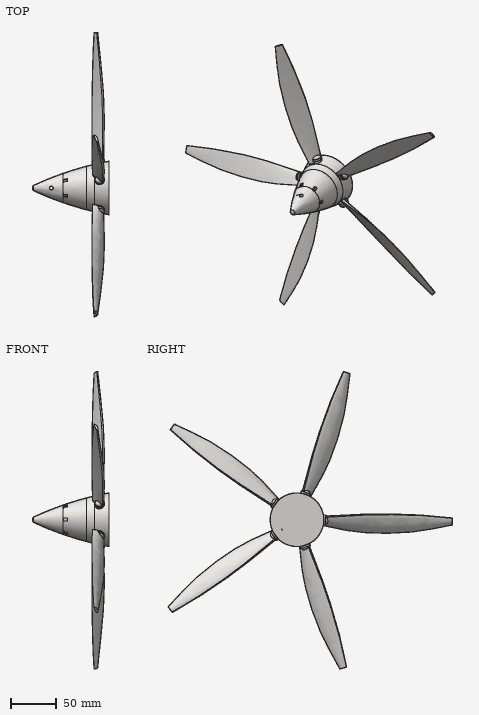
import cadquery as cq
import math


NOSE_DOME_LENGTH = 1.3
NOSE_DOME_RADIUS = 3.0
NOSE_ARC_HEIGHT = 0.3
CAP_END = 34.0
SHELL_END = 60.0
RING_END = 69.0
SPINNER_LENGTH = 85.0
CAP_END_DIAMETER = 32.5
SPINNER_REAR_DIAMETER = 59.7
SPINNER_REAR_RADIUS = SPINNER_REAR_DIAMETER / 2

CROSS_HOLE_DIAMETER = 4.0
CROSS_HOLE_X = 21.0

POCKET_COUNT = 6
POCKET_START = 34.5
POCKET_END = 39.0
POCKET_WIDTH = 3.3
POCKET_FLOOR_RADIUS = 15.2

BLADE_COUNT = 5
BLADE_AXIS_X = 74.5
BLADE_TIP_RADIUS = 172.0
BLADE_ROOT_RADIUS = 27.5
CREASE_SHARE = 0.85
CREASE_HEIGHT_RATIO = 1.4
BACK_MIDDLE_SHARE = 0.4
BACK_MIDDLE_HEIGHT_RATIO = 1.6
FACE_BULGE_RATIO = 0.3

SHANK_DIAMETER = 10.0
SHANK_BOTTOM_RADIUS = 19.8
COLLAR_DIAMETER = 11.0
COLLAR_START = 29.5
COLLAR_END = 31.5
SHANK_TOP_RADIUS = 34.5
SHANK_TOP_FILLET = 3.3

BLADE_SECTIONS = [
    (BLADE_ROOT_RADIUS, (66.5, -6.3), (77.5, 4.0), 2.3),
    (46.0, (66.3, -10.2), (77.5, 5.0), 2.3),
    (66.0, (66.0, -13.5), (77.8, 6.0), 2.3),
    (92.3, (66.0, -15.2), (77.5, 6.5), 2.3),
    (132.0, (66.5, -13.2), (75.0, 5.5), 2.0),
    (153.3, (67.3, -9.5), (73.0, 4.0), 1.5),
    (BLADE_TIP_RADIUS, (68.3, -6.0), (71.2, 2.0), 1.3),
]


def spinner_slice(start, end):
    """Solid part of the spinner ogive between two stations along X."""
    ogive = (
        cq.Workplane("XY")
        .moveTo(0, 0)
        .sagittaArc((NOSE_DOME_LENGTH, NOSE_DOME_RADIUS), NOSE_ARC_HEIGHT)
        .threePointArc((CAP_END, CAP_END_DIAMETER / 2), (SPINNER_LENGTH, SPINNER_REAR_RADIUS))
        .lineTo(SPINNER_LENGTH, 0)
        .close()
        .revolve(360, (0, 0, 0), (1, 0, 0))
    )
    slab = cq.Workplane("YZ").workplane(offset=start).circle(2 * SPINNER_REAR_RADIUS).extrude(end - start)
    return ogive.intersect(slab)


def make_cap():
    """Nose cap with a cross hole along Z."""
    hole = (
        cq.Workplane("XY")
        .center(CROSS_HOLE_X, 0)
        .circle(CROSS_HOLE_DIAMETER / 2)
        .extrude(SPINNER_REAR_RADIUS, both=True)
    )
    return spinner_slice(0, CAP_END).cut(hole)


def make_shell():
    """Middle of the spinner, with pockets around its front edge."""
    shell = spinner_slice(CAP_END, SHELL_END)
    pocket = (
        cq.Workplane("XY")
        .box(POCKET_END - POCKET_START, SPINNER_REAR_RADIUS, POCKET_WIDTH, centered=(False, False, True))
        .translate((POCKET_START, POCKET_FLOOR_RADIUS, 0))
    )
    for i in range(POCKET_COUNT):
        shell = shell.cut(pocket.rotate((0, 0, 0), (1, 0, 0), i * 360 / POCKET_COUNT))
    return shell


def radial_cylinder(diameter, start, end):
    """Cylinder on the blade axis, between two distances from the spinner axis along +Y."""
    return cq.Workplane("XZ", origin=(BLADE_AXIS_X, start, 0)).circle(diameter / 2).extrude(start - end)


def make_shank():
    """Round shank with a collar and a rounded end."""
    stem = radial_cylinder(SHANK_DIAMETER, SHANK_BOTTOM_RADIUS, SHANK_TOP_RADIUS)
    stem = stem.faces(">Y").edges().fillet(SHANK_TOP_FILLET)
    collar = radial_cylinder(COLLAR_DIAMETER, COLLAR_START, COLLAR_END)
    return stem.union(collar)


def section_wire(radius, front, rear, thickness):
    """Aerofoil section: slightly arched front face, blunt rear edge and an arched back with a crease."""
    chord_x = rear[0] - front[0]
    chord_z = rear[1] - front[1]
    chord = math.hypot(chord_x, chord_z)

    def back_point(share, height):
        """Point behind the front chord line, at a share of its length."""
        return (
            front[0] + share * chord_x + height * chord_z / chord,
            front[1] + share * chord_z - height * chord_x / chord,
        )

    return (
        cq.Workplane("XZ", origin=(0, radius, 0))
        .moveTo(*front)
        .threePointArc(back_point(0.5, -FACE_BULGE_RATIO * thickness), rear)
        .lineTo(*back_point(1, thickness))
        .lineTo(*back_point(CREASE_SHARE, CREASE_HEIGHT_RATIO * thickness))
        .threePointArc(back_point(BACK_MIDDLE_SHARE, BACK_MIDDLE_HEIGHT_RATIO * thickness), front)
        .close()
        .val()
    )


def make_blade():
    """One blade along +Y: twisted aerofoil on a round shank."""
    aerofoil = cq.Solid.makeLoft([section_wire(*section) for section in BLADE_SECTIONS])
    root_trim = spinner_slice(RING_END, SPINNER_LENGTH)
    return cq.Workplane(aerofoil).cut(root_trim).union(make_shank())


def make_hub():
    """Rear of the spinner, with one socket for each blade shank."""
    hub = spinner_slice(RING_END, SPINNER_LENGTH)
    socket = radial_cylinder(SHANK_DIAMETER, SHANK_BOTTOM_RADIUS, 2 * SPINNER_REAR_RADIUS)
    for i in range(BLADE_COUNT):
        hub = hub.cut(socket.rotate((0, 0, 0), (1, 0, 0), i * 360 / BLADE_COUNT))
    return hub


cap = make_cap()
shell = make_shell()
ring = spinner_slice(SHELL_END, RING_END)
hub = make_hub()
blade = make_blade()
blades = [
    blade.rotate((0, 0, 0), (1, 0, 0), i * 360 / BLADE_COUNT).val() for i in range(BLADE_COUNT)
]

result = cq.Compound.makeCompound([cap.val(), shell.val(), ring.val(), hub.val(), *blades])